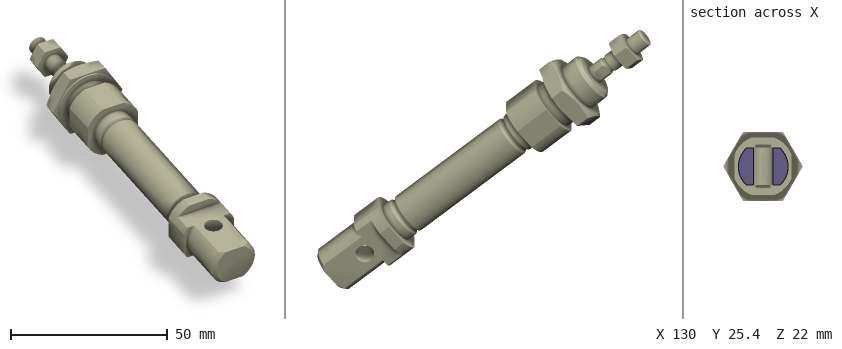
import cadquery as cq
import math


rod_diameter = 6.0
rod_length = 21.0
tip_chamfer = 0.4
thread_end = 14.8
undercut_end = 16.1
undercut_diameter = 5.2
undercut_taper = (rod_diameter - undercut_diameter) / 2
wrench_flat_end = 20.0
wrench_flat_width = 5.0

lock_nut_start = 5.5
lock_nut_thickness = 5.0
lock_nut_width = 10.0
lock_nut_face_diameter = 10.8

nose_start = rod_length
nose_diameter = 16.0
nose_face_diameter = 13.5
nose_chamfer = (nose_diameter - nose_face_diameter) / 2

mount_nut_start = 28.0
mount_nut_thickness = 5.5
mount_nut_width = 22.0
mount_nut_face_diameter = 21.4
collar_diameter = 21.0
collar_thickness = 0.5

cap_width = 18.3
cap_corner_diameter = 19.7
front_cap_start = 38.0
front_cap_end = 50.0
rear_cap_start = 103.0
rear_cap_end = 113.0

tube_diameter = 13.5
groove_diameter = 12.0
groove_width = 2.7
groove_bottom_width = 1.3
front_groove_center = 54.0
rear_groove_center = front_cap_end + rear_cap_start - front_groove_center

lug_end = 130.0
lug_diameter = nose_diameter
lug_chamfer = nose_chamfer
lug_thickness = 12.0
lug_flat_start = 106.8
lug_hole_diameter = 6.0
lug_hole_center = 116.0

nut_chamfer_angle = math.radians(30)


def cylinder_along_x(start, end, diameter):
    """Round bar on the X axis."""
    return cq.Workplane("YZ", origin=(start, 0, 0)).circle(diameter / 2).extrude(end - start)


def flat_pair(start, end, thickness, stock):
    """Two blocks that leave flats of the given thickness, facing +Z and -Z."""
    length = end - start
    middle = (start + end) / 2
    depth = (stock - thickness) / 2
    height = (stock + thickness) / 4
    upper = cq.Workplane("XY").box(length, stock, depth).translate((middle, 0, height))
    return upper.union(upper.mirror("XY"))


def hex_prism(start, thickness, width):
    """Hexagon with two of its sides facing +Z and -Z."""
    corner_diameter = width / math.cos(math.pi / 6)
    return cq.Workplane("YZ", origin=(start, 0, 0)).polygon(6, corner_diameter).extrude(thickness)


def nut_envelope(start, thickness, width, face_diameter, both_ends):
    """Turned blank whose conical ends trim the hexagon corners."""
    outer_radius = width / math.sqrt(3)
    face_radius = face_diameter / 2
    cone_length = (outer_radius - face_radius) * math.tan(nut_chamfer_angle)
    end = start + thickness
    blank = (
        cq.Workplane("XY")
        .moveTo(start, 0)
        .lineTo(start, face_radius)
        .lineTo(start + cone_length, outer_radius)
    )
    if both_ends:
        blank = blank.lineTo(end - cone_length, outer_radius).lineTo(end, face_radius)
    else:
        blank = blank.lineTo(end, outer_radius)
    return blank.lineTo(end, 0).close().revolve(360, (0, 0, 0), (1, 0, 0))


def make_nut(start, thickness, width, face_diameter, both_ends):
    """Hexagon nut with turned corners on one or both ends."""
    envelope = nut_envelope(start, thickness, width, face_diameter, both_ends)
    return hex_prism(start, thickness, width).intersect(envelope)


def make_piston_rod():
    """Rod with threaded tip, undercut, wrench flats and its lock nut."""
    radius = rod_diameter / 2
    undercut_radius = undercut_diameter / 2
    rod = (
        cq.Workplane("XY")
        .moveTo(0, 0)
        .lineTo(0, radius - tip_chamfer)
        .lineTo(tip_chamfer, radius)
        .lineTo(thread_end - undercut_taper, radius)
        .lineTo(thread_end, undercut_radius)
        .lineTo(undercut_end - undercut_taper, undercut_radius)
        .lineTo(undercut_end, radius)
        .lineTo(rod_length, radius)
        .lineTo(rod_length, 0)
        .close()
        .revolve(360, (0, 0, 0), (1, 0, 0))
    )
    wrench_flat_start = undercut_end - undercut_taper
    rod = rod.cut(flat_pair(wrench_flat_start, wrench_flat_end, wrench_flat_width, rod_diameter))
    return rod.union(
        make_nut(lock_nut_start, lock_nut_thickness, lock_nut_width, lock_nut_face_diameter, True)
    )


def make_cap(start, end):
    """Square bar with its corners turned to a circle."""
    square = cq.Workplane("YZ", origin=(start, 0, 0)).rect(cap_width, cap_width).extrude(end - start)
    return square.intersect(cylinder_along_x(start, end, cap_corner_diameter))


def make_groove_cutter(center):
    """Ring with a rounded bottom that blends into the tube through rounded shoulders."""
    tube_radius = tube_diameter / 2
    bottom_radius = groove_diameter / 2
    half_width = groove_width / 2
    half_bottom = groove_bottom_width / 2
    depth = tube_radius - bottom_radius
    meeting_radius = bottom_radius + depth * half_bottom / half_width
    mean_slope = math.atan2(depth, half_width)
    half_chord = (half_width - half_bottom) / math.cos(mean_slope) / 2
    shoulder_offset = half_width - half_chord
    shoulder_radius = tube_radius - half_chord * math.tan(mean_slope / 2)
    return (
        cq.Workplane("XY")
        .moveTo(center - half_width, tube_radius)
        .threePointArc((center - shoulder_offset, shoulder_radius), (center - half_bottom, meeting_radius))
        .threePointArc((center, bottom_radius), (center + half_bottom, meeting_radius))
        .threePointArc((center + shoulder_offset, shoulder_radius), (center + half_width, tube_radius))
        .close()
        .revolve(360, (0, 0, 0), (1, 0, 0))
    )


def make_tube():
    """Tube between the caps with its two rolled grooves."""
    tube = cylinder_along_x(front_cap_end, rear_cap_start, tube_diameter)
    for center in (front_groove_center, rear_groove_center):
        tube = tube.cut(make_groove_cutter(center))
    return tube


def make_front_end():
    """Chamfered nose, mounting nut with its collar, and the front cap."""
    nose = cylinder_along_x(nose_start, front_cap_start, nose_diameter)
    nose = nose.faces("<X").chamfer(nose_chamfer)
    nut = make_nut(
        mount_nut_start, mount_nut_thickness, mount_nut_width, mount_nut_face_diameter, False
    )
    collar_start = mount_nut_start + mount_nut_thickness
    collar = cylinder_along_x(collar_start, collar_start + collar_thickness, collar_diameter)
    return nose.union(nut).union(collar).union(make_cap(front_cap_start, front_cap_end))


def make_rear_end():
    """Rear cap and lug, flattened together and drilled for the pivot pin."""
    lug = cylinder_along_x(rear_cap_end, lug_end, lug_diameter)
    lug = lug.faces(">X").chamfer(lug_chamfer)
    rear = make_cap(rear_cap_start, rear_cap_end).union(lug)
    rear = rear.cut(flat_pair(lug_flat_start, lug_end, lug_thickness, cap_corner_diameter))
    pin_hole = (
        cq.Workplane("XY")
        .center(lug_hole_center, 0)
        .circle(lug_hole_diameter / 2)
        .extrude(lug_thickness, both=True)
    )
    return rear.cut(pin_hole)


piston_rod = make_piston_rod()
housing = make_front_end().union(make_tube()).union(make_rear_end())

result = cq.Compound.makeCompound([piston_rod.val(), housing.val()])